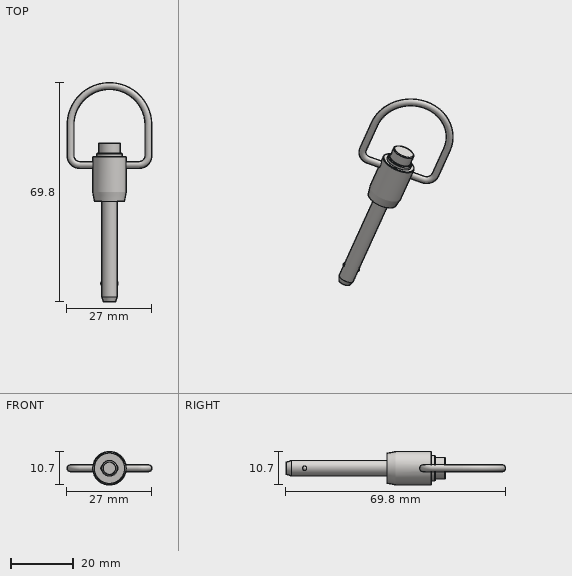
import cadquery as cq

total_length = 69.8

shank_radius = 4.95 / 2
tip_radius = 1.95
tip_length = 1.6

ball_radius = 0.85
ball_y = 5.85
ball_reach = 2.8

body_radius = 10.7 / 2
body_nose_radius = 4.8
body_bottom_y = 32.05
nose_top_y = 34.85
body_top_y = 46.3
body_edge_chamfer = 0.2

collar_radius = 4.1
collar_top_y = 47.4
collar_edge_chamfer = 0.3
button_radius = 3.5
button_top_y = 50.6
button_edge_chamfer = 0.3

ring_width = 27.0
wire_radius = 1.1
ring_base_y = 43.6
bend_radius = 3.0
ring_radius = ring_width / 2 - wire_radius
ring_arc_y = total_length - ring_width / 2


def make_pin():
    """Shank, body, collar and button as one revolved profile."""
    return (
        cq.Workplane("XY")
        .moveTo(0, 0)
        .lineTo(tip_radius, 0)
        .lineTo(shank_radius, tip_length)
        .lineTo(shank_radius, body_bottom_y)
        .lineTo(body_nose_radius, body_bottom_y)
        .lineTo(body_radius, nose_top_y)
        .lineTo(body_radius, body_top_y - body_edge_chamfer)
        .lineTo(body_radius - body_edge_chamfer, body_top_y)
        .lineTo(collar_radius, body_top_y)
        .lineTo(collar_radius, collar_top_y - collar_edge_chamfer)
        .lineTo(collar_radius - collar_edge_chamfer, collar_top_y)
        .lineTo(button_radius, collar_top_y)
        .lineTo(button_radius, button_top_y - button_edge_chamfer)
        .lineTo(button_radius - button_edge_chamfer, button_top_y)
        .lineTo(0, button_top_y)
        .close()
        .revolve(360, (0, 0), (0, 1))
    )


def make_ring():
    """Round wire bent into a D, with both ends buried in the body."""
    bend_x = ring_radius - bend_radius
    bend_y = ring_base_y + bend_radius
    wire_end_x = body_radius / 2
    path = (
        cq.Workplane("XY")
        .moveTo(wire_end_x, ring_base_y)
        .lineTo(bend_x, ring_base_y)
        .radiusArc((ring_radius, bend_y), -bend_radius)
        .lineTo(ring_radius, ring_arc_y)
        .threePointArc((0, ring_arc_y + ring_radius), (-ring_radius, ring_arc_y))
        .lineTo(-ring_radius, bend_y)
        .radiusArc((-bend_x, ring_base_y), -bend_radius)
        .lineTo(-wire_end_x, ring_base_y)
    )
    section = cq.Workplane("YZ", origin=(wire_end_x, ring_base_y, 0)).circle(wire_radius)
    return section.sweep(path)


def make_ball(side):
    """Locking ball standing out of the shank on one side (+1 or -1) in X."""
    ball_x = side * (ball_reach - ball_radius)
    return cq.Workplane("XY").sphere(ball_radius).translate((ball_x, ball_y, 0))


result = make_pin().union(make_ring())
for side in (1, -1):
    result = result.union(make_ball(side))